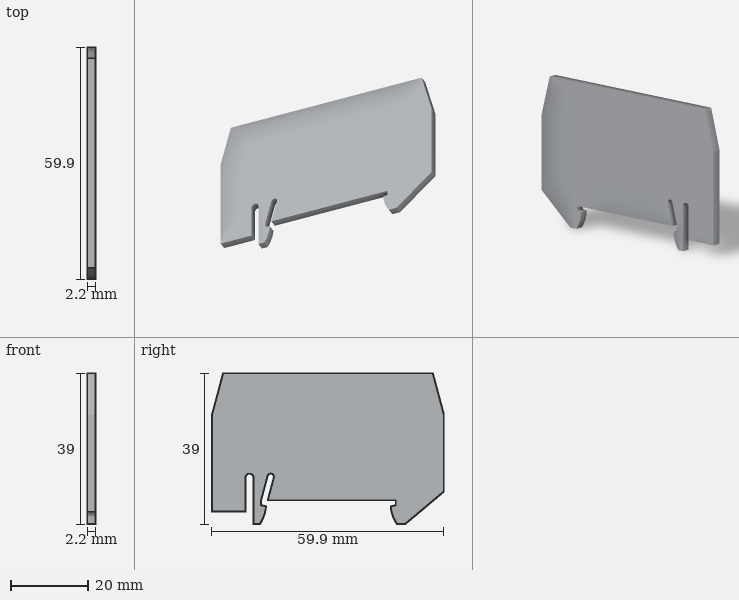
import cadquery as cq
import math

thickness = 2.2
length = 59.9
height = 39.0

top_bevel_angle = 15.0
top_bevel_height = 10.7
foot_bevel_width = 10.0
foot_bevel_height = 8.4
skirt_height = 3.25

notch_width = 34.7
notch_inset = 12.5
notch_floor_height = 6.1
hook_overhang = 1.3
hook_root_height = 4.9
hook_tip_height = 4.6
hook_foot_setback = 0.35
hook_radius = 9.5

slot_top_height = 13.0
straight_slot_width = 2.0
latch_width = 2.0
slant_slot_width = 1.6
slant_angle = 15.0

plus_y = length / 2
minus_y = -length / 2
top_z = height / 2
bottom_z = -height / 2
notch_floor_z = bottom_z + notch_floor_height
slot_top_z = bottom_z + slot_top_height
fixed_wall_y = plus_y - notch_inset
latch_wall_y = fixed_wall_y - notch_width
straight_slot_plus_y = latch_wall_y - latch_width
straight_slot_minus_y = straight_slot_plus_y - straight_slot_width


def hook_points(wall_y, inward):
    """Root, tip, mid-arc and foot points of a hook; inward is the Y sign towards the notch."""
    root = (wall_y, bottom_z + hook_root_height)
    tip = (wall_y + inward * hook_overhang, bottom_z + hook_tip_height)
    foot = (wall_y - inward * hook_foot_setback, bottom_z)
    chord_y = foot[0] - tip[0]
    chord_z = foot[1] - tip[1]
    chord = math.hypot(chord_y, chord_z)
    bulge = hook_radius - math.sqrt(hook_radius**2 - (chord / 2) ** 2)
    middle = (
        (tip[0] + foot[0]) / 2 + inward * bulge * abs(chord_z) / chord,
        (tip[1] + foot[1]) / 2 - bulge * abs(chord_y) / chord,
    )
    return root, tip, middle, foot


def make_plate():
    """Plate outline with the rail notch and both hooks."""
    bevel_width = top_bevel_height * math.tan(math.radians(top_bevel_angle))
    bevel_z = top_z - top_bevel_height
    skirt_z = bottom_z + skirt_height
    fixed_root, fixed_tip, fixed_middle, fixed_foot = hook_points(fixed_wall_y, -1)
    latch_root, latch_tip, latch_middle, latch_foot = hook_points(latch_wall_y, 1)
    return (
        cq.Workplane("YZ")
        .moveTo(plus_y - bevel_width, top_z)
        .lineTo(plus_y, bevel_z)
        .lineTo(plus_y, bottom_z + foot_bevel_height)
        .lineTo(plus_y - foot_bevel_width, bottom_z)
        .lineTo(*fixed_foot)
        .threePointArc(fixed_middle, fixed_tip)
        .lineTo(*fixed_root)
        .lineTo(fixed_wall_y, notch_floor_z)
        .lineTo(latch_wall_y, notch_floor_z)
        .lineTo(*latch_root)
        .lineTo(*latch_tip)
        .threePointArc(latch_middle, latch_foot)
        .lineTo(straight_slot_plus_y, bottom_z)
        .lineTo(straight_slot_plus_y, skirt_z)
        .lineTo(minus_y, skirt_z)
        .lineTo(minus_y, bevel_z)
        .lineTo(minus_y + bevel_width, top_z)
        .close()
        .extrude(thickness / 2, both=True)
    )


def make_straight_slot():
    """Vertical round-ended slot behind the latch."""
    radius = straight_slot_width / 2
    return (
        cq.Workplane("YZ")
        .moveTo(straight_slot_plus_y, bottom_z)
        .lineTo(straight_slot_plus_y, slot_top_z - radius)
        .threePointArc(
            (straight_slot_plus_y - radius, slot_top_z),
            (straight_slot_minus_y, slot_top_z - radius),
        )
        .lineTo(straight_slot_minus_y, bottom_z)
        .close()
        .extrude(thickness / 2, both=True)
    )


def make_slant_slot():
    """Leaning round-ended slot rising from the notch floor beside the latch."""
    angle = math.radians(slant_angle)
    radius = slant_slot_width / 2
    mouth_width = slant_slot_width / math.cos(angle)
    centre_z = slot_top_z - radius
    rise = centre_z - notch_floor_z
    centre_y = latch_wall_y + mouth_width / 2 + rise * math.tan(angle)
    across_y = radius * math.cos(angle)
    across_z = radius * math.sin(angle)
    crown = (centre_y + across_z, centre_z + across_y)
    return (
        cq.Workplane("YZ")
        .moveTo(latch_wall_y, notch_floor_z)
        .lineTo(centre_y - across_y, centre_z + across_z)
        .threePointArc(crown, (centre_y + across_y, centre_z - across_z))
        .lineTo(latch_wall_y + mouth_width, notch_floor_z)
        .close()
        .extrude(thickness / 2, both=True)
    )


result = make_plate().cut(make_straight_slot()).cut(make_slant_slot())